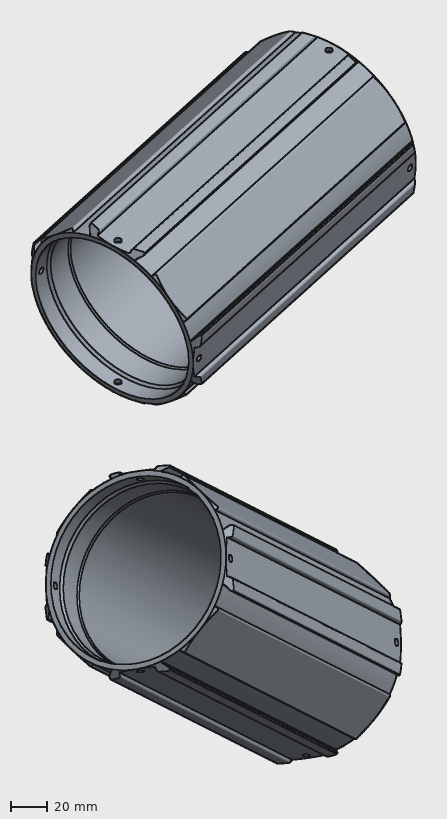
import cadquery as cq

length = 200.0
half_length = length / 2
tube_radius = 57.2
bore_radius = 52.0

socket_radius = 54.0
socket_depth = 10.0
step_radius = 52.8
step_depth = 27.5
socket_taper = 2.0
step_taper = 1.2

outer_width = 119.0
corner_diameter = 124.2
rail_face = outer_width / 2
rail_corner_radius = corner_diameter / 2

rail_inner_top = 11.8
rail_inner_foot = 11.2
rail_outer = 19.0
rail_lip = 1.5
rail_foot = 16.0
rail_foot_height = 55.5

pad_half_width = 15.8

edge_rounding = 1.2

hole_diameter = 4.0
hole_inset = 5.2

root = (bore_radius + tube_radius) / 2
reach = 2 * tube_radius


def bar(half_outline):
    """Extrude a profile over the full length; half_outline is its +X half, mirrored to -X."""
    mirrored = [(-x, z) for x, z in reversed(half_outline)]
    profile = cq.Workplane("XZ").polyline(half_outline + mirrored).close()
    return profile.extrude(half_length, both=True)


def round_long_edges(shape, x, z):
    """Round the pair of lengthwise edges at (+X, Z) and (-X, Z)."""
    for edge_x in (x, -x):
        edge = cq.selectors.NearestToPointSelector((edge_x, 0, z))
        shape = shape.edges("|Y").edges(edge).fillet(edge_rounding)
    return shape


def turned(half_outline):
    """Revolve (radius, Y) points of the -Y half, mirrored to +Y, about the Y axis."""
    mirrored = [(r, -y) for r, y in reversed(half_outline)]
    return cq.Workplane("XY").polyline(half_outline + mirrored).close().revolve(360, (0, 0, 0), (0, 1, 0))


def around_axis(shape, angle):
    """Turn a shape about the tube axis."""
    return shape.rotate((0, 0, 0), (0, 1, 0), angle)


rail_pair = bar([
    (rail_foot, root),
    (rail_foot, rail_foot_height),
    (rail_outer, rail_face - rail_lip),
    (rail_outer, rail_face),
    (rail_inner_top, rail_face),
    (rail_inner_foot, tube_radius),
])
rail_pair = round_long_edges(rail_pair, rail_inner_top, rail_face)

pad = bar([
    (pad_half_width, root),
    (pad_half_width, tube_radius),
])
pad = round_long_edges(pad, pad_half_width, tube_radius)

body = cq.Workplane("XZ").circle(tube_radius).extrude(half_length, both=True)
for side in range(4):
    body = body.union(around_axis(rail_pair, 90 * side))
    body = body.union(around_axis(pad, 90 * side + 45))

end_chamfer = rail_corner_radius - tube_radius
envelope = turned([
    (0, -half_length),
    (tube_radius, -half_length),
    (rail_corner_radius, -half_length + end_chamfer),
])
body = body.intersect(envelope)

socket_end = -half_length + socket_depth
step_end = -half_length + step_depth
body = body.cut(turned([
    (0, -half_length),
    (socket_radius, -half_length),
    (socket_radius, socket_end),
    (step_radius, socket_end + socket_taper),
    (step_radius, step_end),
    (bore_radius, step_end + step_taper),
]))

hole_y = half_length - hole_inset
drills = cq.Workplane("XY").pushPoints([(0, -hole_y), (0, hole_y)]).circle(hole_diameter / 2)
drills = drills.extrude(reach, both=True)
for angle in (0, 90):
    body = body.cut(around_axis(drills, angle))

result = body